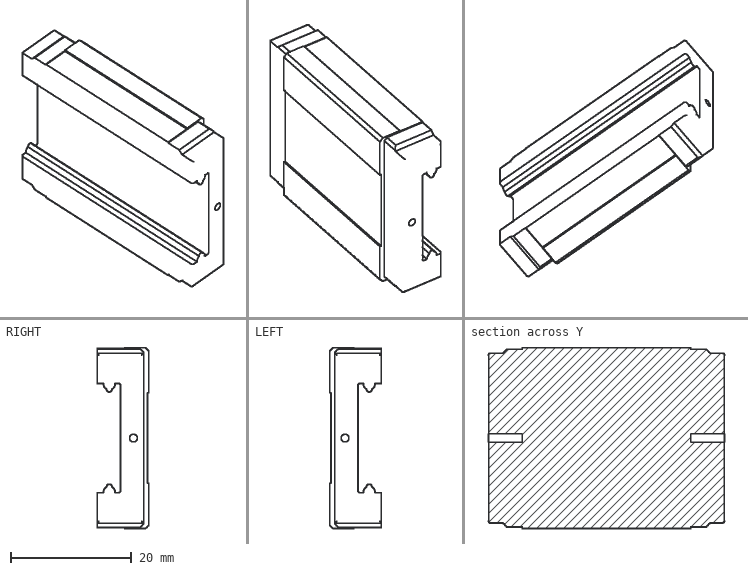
import cadquery as cq

length = 39.1
depth = 8.6
width = 30.0
front_y = -depth / 2
back_y = depth / 2

body_length = 27.9
body_back_chamfer = 0.6
side_step = 0.1
side_step_y = 0.2
back_groove_depth = 0.25
back_groove_width = 14.95

cap_back_y = 3.4
cap_width = 29.45
cap_end_width = 28.15
shoulder_length = 33.0
shoulder_drop = (cap_width - cap_end_width) / 2
shoulder_chamfer = 0.5
end_fillet = 0.4

channel_width = 18.05
channel_floor_y = -0.43
channel_corner_fillet = 0.3
ridge_y = -2.25
ridge_base_radius = 0.98
ridge_base_rise = 0.08
ridge_tip_radius = 0.45
ridge_tip_gap = 15.25

hole_diameter = 1.3
hole_y = 1.72
hole_depth = (length - body_length) / 2


def make_steel_body():
    """Steel block with chamfered back edges, stepped sides and a back groove."""
    half = width / 2
    step_z = half - side_step
    groove_z = back_groove_width / 2
    upper_half = [
        (front_y, step_z),
        (side_step_y, step_z),
        (side_step_y + side_step, half),
        (back_y - body_back_chamfer, half),
        (back_y, half - body_back_chamfer),
        (back_y, groove_z),
        (back_y - back_groove_depth, groove_z),
    ]
    lower_half = [(y, -z) for y, z in reversed(upper_half)]
    outline = cq.Workplane("YZ").polyline(upper_half + lower_half).close()
    return outline.extrude(body_length / 2, both=True)


def make_caps():
    """Shouldered block with rounded end faces, forming both end caps."""
    end_x = length / 2
    end_z = cap_end_width / 2
    top_x = shoulder_length / 2
    top_z = cap_width / 2
    foot_x = top_x + shoulder_drop
    upper_half = [(-end_x, end_z), (-foot_x, end_z), (-top_x, top_z),
                  (top_x, top_z), (foot_x, end_z), (end_x, end_z)]
    lower_half = [(x, -z) for x, z in reversed(upper_half)]
    block = (
        cq.Workplane("XZ", origin=(0, cap_back_y, 0))
        .polyline(upper_half + lower_half)
        .close()
        .extrude(cap_back_y - front_y)
    )
    block = block.faces("<X or >X").edges().fillet(end_fillet)
    for shoulder in (">Z", "<Z"):
        block = block.faces(shoulder).edges(">Y").chamfer(shoulder_chamfer)
    return block


def make_channel():
    """Rail channel volume, less the two ridges that stand on its walls."""
    channel = (
        cq.Workplane("XY")
        .box(length, channel_floor_y - front_y, channel_width)
        .translate((0, (channel_floor_y + front_y) / 2, 0))
        .edges("|X and >Y")
        .fillet(channel_corner_fillet)
    )
    base_z = channel_width / 2 - ridge_base_rise
    tip_z = ridge_tip_gap / 2 + ridge_tip_radius
    for side in (1, -1):
        for z, radius in ((base_z, ridge_base_radius), (tip_z, ridge_tip_radius)):
            bar = cq.Workplane("YZ").center(ridge_y, side * z).circle(radius)
            channel = channel.cut(bar.extrude(length, both=True))
    return channel


def make_hole(side):
    """Blind hole running inward from the end face on the given X side."""
    face = cq.Workplane("YZ", origin=(side * length / 2, hole_y, 0))
    return face.circle(hole_diameter / 2).extrude(-side * hole_depth)


result = make_steel_body().union(make_caps()).clean().cut(make_channel())
for end_side in (-1, 1):
    result = result.cut(make_hole(end_side))